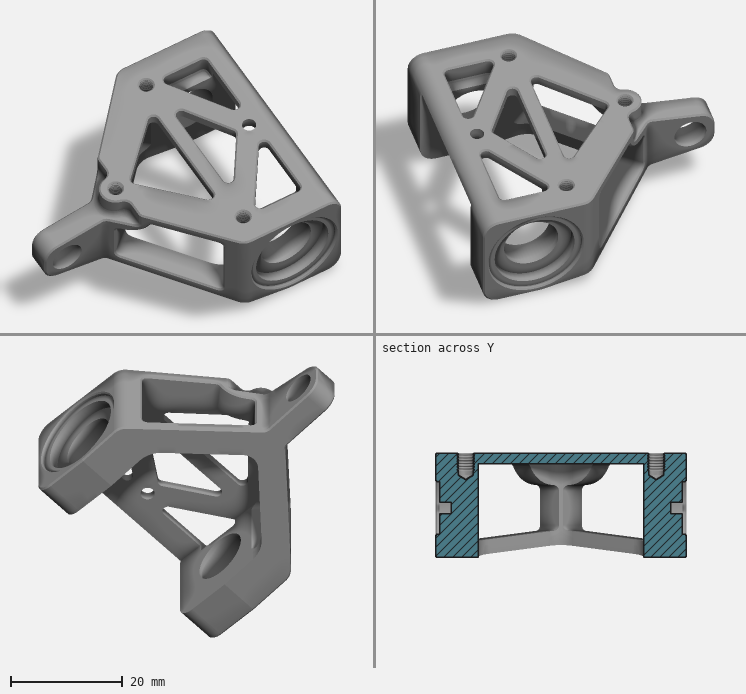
import cadquery as cq
import math

half_width = 22.5
half_height = 9.9
back_y = half_height
tip_y = -40.0
edge_chamfer = 0.3
overshoot = 2.5

sharp_angle = 20

cheek_inner_x = 14.8
plate_thickness = 2.0
plate_under_z = half_height - plate_thickness
block_corner_radius = 3.0
heel_y = -1.1
bearing_steps = [(17.5, 0.75), (15.0, 2.8)]
bearing_chamfer = 0.25
shaft_diameter = 10.2

lug_half_width = 2.45
lug_root_y = -27.6
lug_root_radius = 1.5
lug_tip_radius = 3.0
lug_tip_half_flat = 1.35
lug_hole_y = -35.4
lug_hole_diameter = 6.0

wall_angle = math.radians(40.8)
wall_thickness = 5.0
cavity_cheek_radius = 5.0
cavity_tip_radius = 3.0
wall_corner_y = lug_root_y + (half_width - lug_half_width) * math.tan(wall_angle)

notch_wall_y = -23.25
notch_fillet = 1.0
boss_y = -23.9
boss_radius = 3.0
boss_blend_radius = 1.6

window_margin = 2.0
window_start = 2.0
window_end = 22.35
window_step = 8.6
window_radius = 1.0
window_step_radius = 6.0
window_step_edge_radius = 1.0
window_step_angle = math.radians(63)

opening_radius = 1.0
opening_pocket_depth = 3.55
corner_opening_x = 17.05
corner_opening_top_y = 4.9
corner_opening_low_y = -5.1
corner_opening_tip_x = 2.0
middle_opening_apex_y = 1.25
middle_opening_base_y = -6.35
middle_opening_half_width = 11.5
front_opening_apex_y = -21.0
front_opening_base_y = -9.35
front_opening_half_width = 12.05
pocket_floor_chamfer = 0.3

screw_diameter = 2.55
screw_mouth_diameter = 3.1
screw_depth = 4.0
screw_places = [(-17.05, -7.45), (17.05, -7.45), (0, boss_y)]
thread_diameter = 3.0
thread_pitch = 0.5
thread_groove_width = 0.4
thread_count = 6
drill_point_angle = math.radians(59)
plate_hole_y = 3.9
plate_hole_diameter = 2.55

tip_center_y = tip_y + lug_tip_radius
rise = half_height - lug_tip_half_flat
run = heel_y - tip_center_y
slope_angle = math.atan2(rise, run) - math.asin(lug_tip_radius / math.hypot(rise, run))
slope = math.tan(slope_angle)


def slope_height(y):
    """Height above the mid plane of the sloped lug surface at y."""
    return half_height - (heel_y - y) * slope


def rounded_outline(plane, corners):
    """Closed outline on a plane from (x, y, radius) corners; radius 0 stays sharp."""
    rounds = []
    for i, (x, y, radius) in enumerate(corners):
        corner = cq.Vector(x, y)
        to_before = (cq.Vector(*corners[i - 1][:2]) - corner).normalized()
        to_after = (cq.Vector(*corners[(i + 1) % len(corners)][:2]) - corner).normalized()
        half_angle = to_before.getAngle(to_after) / 2
        setback = radius / math.tan(half_angle)
        gap = radius / math.sin(half_angle) - radius
        middle = corner + (to_before + to_after).normalized() * gap
        rounds.append((corner + to_before * setback, middle, corner + to_after * setback, radius))

    outline = cq.Workplane(plane).moveTo(rounds[-1][2].x, rounds[-1][2].y)
    for start, middle, end, radius in rounds:
        outline = outline.lineTo(start.x, start.y)
        if radius > 0:
            outline = outline.threePointArc((middle.x, middle.y), (end.x, end.y))
    return outline.close()


def chamfered_cutter(plane, corners, depth):
    """Cutter running inward from the plane, with a chamfered mouth."""
    straight = rounded_outline(plane, corners).extrude(-depth)
    mouth = rounded_outline(plane, corners).offset2D(edge_chamfer).extrude(-edge_chamfer, taper=45)
    return straight.union(mouth)


def mirrored(corners):
    """Complete a right-hand run of corners with its mirror image in X = 0."""
    return corners + [(-x, y, r) for x, y, r in reversed(corners) if x != 0]


def both_sides(shape):
    return shape.union(shape.mirror("YZ"))


def block():
    """Plan outline crossed with the side profile, notch included."""
    plan = rounded_outline("XY", mirrored([
        (half_width, back_y, 0),
        (half_width, wall_corner_y, block_corner_radius),
        (lug_half_width, lug_root_y, lug_root_radius),
        (lug_half_width, tip_y, 0),
    ])).extrude(half_height, both=True)
    tip_z = slope_height(tip_y)
    profile = rounded_outline("YZ", [
        (back_y, half_height, block_corner_radius),
        (back_y, -half_height, block_corner_radius),
        (heel_y, -half_height, 0),
        (tip_y, -tip_z, lug_tip_radius),
        (tip_y, tip_z, lug_tip_radius),
        (notch_wall_y, slope_height(notch_wall_y), 0),
        (notch_wall_y, half_height, 0),
    ]).extrude(half_width, both=True)
    return plan.intersect(profile)


def boss():
    """Screw boss blended into the notch wall by concave arcs."""
    blend_y = notch_wall_y - boss_blend_radius
    reach = boss_radius + boss_blend_radius
    blend_x = math.sqrt(reach**2 - (boss_y - blend_y) ** 2)
    share = boss_radius / reach
    touch_x = blend_x * share
    touch_y = boss_y + (blend_y - boss_y) * share
    mid_angle = (math.pi / 2 + math.atan2(touch_y - blend_y, blend_x - touch_x)) / 2
    mid_x = blend_x - boss_blend_radius * math.cos(mid_angle)
    mid_y = blend_y + boss_blend_radius * math.sin(mid_angle)
    outline = (
        cq.Workplane("XY")
        .moveTo(-blend_x, notch_wall_y)
        .threePointArc((-mid_x, mid_y), (-touch_x, touch_y))
        .threePointArc((0, boss_y - boss_radius), (touch_x, touch_y))
        .threePointArc((mid_x, mid_y), (blend_x, notch_wall_y))
        .lineTo(blend_x, notch_wall_y + overshoot)
        .lineTo(-blend_x, notch_wall_y + overshoot)
        .close()
    )
    return outline.extrude(half_height)


def cavity():
    """Space between the cheeks and the side walls, open below and behind."""
    outer_tip_y = lug_root_y - lug_half_width * math.tan(wall_angle)
    inner_tip_y = outer_tip_y + wall_thickness / math.cos(wall_angle)
    corner_y = inner_tip_y + cheek_inner_x * math.tan(wall_angle)
    outline = rounded_outline(cq.Plane.XY(origin=(0, 0, plate_under_z)), [
        (cheek_inner_x, back_y + overshoot, 0),
        (cheek_inner_x, corner_y, cavity_cheek_radius),
        (0, inner_tip_y, cavity_tip_radius),
        (-cheek_inner_x, corner_y, cavity_cheek_radius),
        (-cheek_inner_x, back_y + overshoot, 0),
    ])
    return outline.extrude(-2 * half_height)


def wall_windows():
    """Stepped windows cut square through the two side walls."""
    across = math.cos(wall_angle)
    along = math.sin(wall_angle)
    wall_plane = cq.Plane(
        origin=(lug_half_width, lug_root_y, 0), xDir=(across, along, 0), normal=(along, -across, 0)
    )
    margin = window_margin / math.cos(slope_angle)

    def sloped_edge(distance):
        return slope_height(lug_root_y + distance * along) - margin

    step_drop = plate_under_z - sloped_edge(window_step)
    edge_slope = slope * along
    step_run = step_drop / (math.tan(window_step_angle) - edge_slope)
    step_foot = window_step - step_run
    window = chamfered_cutter(wall_plane, [
        (window_end, plate_under_z, window_radius),
        (window_step, plate_under_z, window_step_edge_radius),
        (step_foot, sloped_edge(step_foot), window_step_radius),
        (window_start, sloped_edge(window_start), window_radius),
        (window_start, -sloped_edge(window_start), window_radius),
        (window_end, -sloped_edge(window_end), window_radius),
    ], wall_thickness + overshoot)
    return both_sides(window)


def plate_openings():
    """Triangular lightening openings; the corner ones sink into the cheeks."""
    top = cq.Plane.XY(origin=(0, 0, half_height))
    r = opening_radius
    corner = chamfered_cutter(top, [
        (corner_opening_x, corner_opening_top_y, r),
        (corner_opening_x, corner_opening_low_y, r),
        (corner_opening_tip_x, corner_opening_top_y, r),
    ], opening_pocket_depth)
    middle = chamfered_cutter(top, [
        (middle_opening_half_width, middle_opening_base_y, r),
        (-middle_opening_half_width, middle_opening_base_y, r),
        (0, middle_opening_apex_y, r),
    ], opening_pocket_depth)
    front = chamfered_cutter(top, [
        (front_opening_half_width, front_opening_base_y, r),
        (0, front_opening_apex_y, r),
        (-front_opening_half_width, front_opening_base_y, r),
    ], opening_pocket_depth)
    corner = corner.faces("<Z").chamfer(pocket_floor_chamfer)
    return both_sides(corner).union(middle).union(front)


def bearing_bores():
    """Stepped bearing seats in the outer cheek faces and the shaft bore."""
    outer_face = cq.Plane(origin=(half_width, 0, 0), xDir=(0, 1, 0), normal=(1, 0, 0))
    seats = cq.Workplane(outer_face).circle(shaft_diameter / 2).extrude(-half_width)
    for diameter, depth in bearing_steps:
        seats = seats.union(cq.Workplane(outer_face).circle(diameter / 2).extrude(-depth))
    mouth_radius = bearing_steps[0][0] / 2 + bearing_chamfer
    mouth = cq.Workplane(outer_face).circle(mouth_radius).extrude(-bearing_chamfer, taper=45)
    return both_sides(seats.union(mouth))


def screw_hole(x, y):
    """Blind drilled hole with a countersunk mouth and a conical end."""
    r = screw_diameter / 2
    mouth_r = screw_mouth_diameter / 2
    mouth_depth = mouth_r - r
    point_depth = r / math.tan(drill_point_angle)
    groove_half = thread_groove_width / 2
    section = [(0, 0), (mouth_r, 0), (r, -mouth_depth)]
    for turn in range(1, thread_count + 1):
        z = -mouth_depth - (turn - 0.5) * thread_pitch
        section += [(r, z + groove_half), (thread_diameter / 2, z), (r, z - groove_half)]
    section += [(r, -screw_depth), (0, -screw_depth - point_depth)]
    half_section = cq.Workplane("XZ").polyline(section).close()
    return half_section.revolve(360, (0, 0), (0, 1)).translate((x, y, half_height))


def plain_hole(plane_name, start, diameter, length):
    """Cutter for a straight through hole."""
    return cq.Workplane(plane_name, origin=start).circle(diameter / 2).extrude(length)


def notch_floor_edges(shape):
    """Edges where the notch floor meets the notch wall, the blends and the boss."""
    margin = 0.5
    low_z = slope_height(boss_y - boss_radius) - margin
    high_z = slope_height(notch_wall_y) + margin
    wall_box = cq.selectors.BoxSelector(
        (-half_width, boss_y, low_z), (half_width, notch_wall_y + margin, high_z)
    )
    boss_box = cq.selectors.BoxSelector((-margin, lug_root_y, low_z), (margin, boss_y, high_z))
    return shape.edges(wall_box + boss_box)


def sharp_edges(shape):
    """Edges whose two faces turn by more than the sharp angle."""
    faces = shape.faces().vals()

    def turn(edge):
        point = edge.positionAt(0.5)
        normals = [f.normalAt(point) for f in faces if any(edge.isSame(e) for e in f.Edges())]
        return math.degrees(normals[0].getAngle(normals[-1]))

    return shape.edges().filter(lambda edge: turn(edge) > sharp_angle)


def outer_body():
    """Solid outer form with the notch fillet and all rims chamfered."""
    body = block().union(boss())
    body = notch_floor_edges(body).fillet(notch_fillet)
    return sharp_edges(body).chamfer(edge_chamfer)


result = (
    outer_body()
    .cut(cavity())
    .cut(wall_windows())
    .cut(plate_openings())
    .cut(bearing_bores())
    .cut(plain_hole("XY", (0, plate_hole_y, 0), plate_hole_diameter, half_height))
    .cut(plain_hole("YZ", (-lug_half_width, lug_hole_y, 0), lug_hole_diameter, 2 * lug_half_width))
)
for screw_x, screw_y in screw_places:
    result = result.cut(screw_hole(screw_x, screw_y))